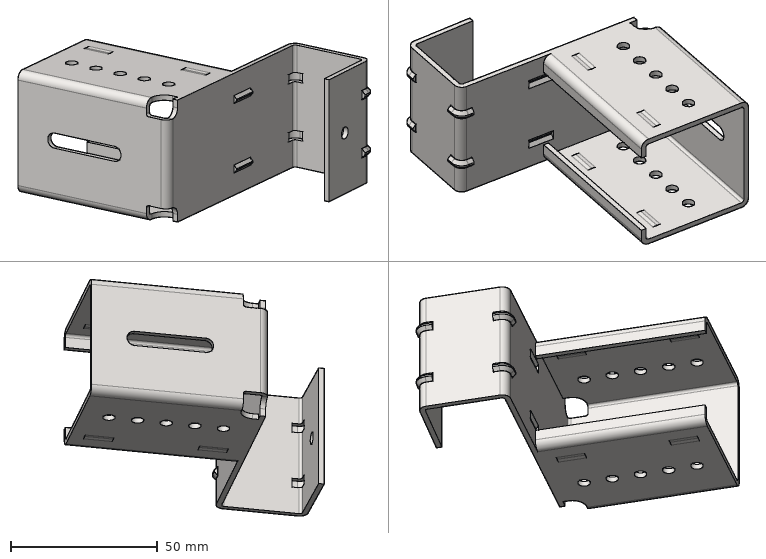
import cadquery as cq
import math

overall_x = 93.4
overall_y = 79.9
height = 44.0
sheet = 2.0
inner_bend = 1.0
outer_bend = inner_bend + sheet

channel_depth = 44.0
lip_length = 6.8

plate_outer_x = 62.0
plate_inner_x = plate_outer_x - sheet
hook_tip_y = 52.5
hook_splay = 1.5

relief_x = 53.1
relief_depth = 6.0
flange_relief_y = 8.5
flange_relief_radius = 5.0
web_relief_radius = 0.9
plate_relief_y = 5.7
plate_relief_radius = 3.2

hole_diameter = 4.2
hole_pitch = 10.0
hole_count = 5
hole_y = 18.0
slot_length = 30.2
slot_width = 5.4
slot_center_x = 27.5
hook_hole_y = 62.5

bead_height = 1.2
bead_width = 3.4
bead_crest = 0.7
bead_groove_depth = 1.9
bead_leg = 2.3
bead_z = 10.5

dimple_length = 10.0
plate_dimple_y = 45.0
plate_dimple_z = 12.5
plate_groove_width = 3.5
plate_ridge_width = 2.9
plate_dimple_depth = 1.0
plate_dimple_crest = 0.5
flange_dimple_y = 34.4
flange_dimple_width = 3.0
flange_dimple_depth = 0.2

half_height = height / 2
back_y = overall_y - bead_height
bend_center_y = back_y - outer_bend
splay = math.radians(hook_splay)
left_bend = (plate_inner_x + outer_bend, bend_center_y)
right_bend = (
    overall_x - (outer_bend + bead_height) * math.cos(splay) - bead_leg * math.sin(splay),
    bend_center_y,
)


def box_between(x, y, z):
    """Box spanning the given (low, high) ranges."""
    size = (x[1] - x[0], y[1] - y[0], z[1] - z[0])
    return cq.Workplane("XY").box(*size, centered=False).translate((x[0], y[0], z[0]))


def channel():
    """Lipped C-profile with the web on Y = 0."""
    outer = (
        cq.Workplane("YZ").rect(channel_depth, height).extrude(plate_inner_x)
        .edges("|X").fillet(outer_bend)
    )
    inner = (
        cq.Workplane("YZ").rect(channel_depth - 2 * sheet, height - 2 * sheet).extrude(plate_inner_x)
        .edges("|X").fillet(inner_bend)
    )
    tube = outer.cut(inner).translate((0, channel_depth / 2, 0))
    lip_end = half_height - lip_length
    mouth = box_between(
        (0, plate_inner_x), (channel_depth - outer_bend, channel_depth), (-lip_end, lip_end)
    )
    tab_end = half_height - relief_depth
    tab_space = box_between((relief_x, plate_inner_x), (0, outer_bend), (-tab_end, tab_end))
    return tube.cut(mouth).cut(tab_space)


def bend_point(center, radius, degrees):
    """Point on a circle about the bend centre, the angle counted from +X."""
    angle = math.radians(degrees)
    return (center[0] + radius * math.cos(angle), center[1] + radius * math.sin(angle))


def hook_plate():
    """Web tab, end plate, back wall and splayed flange as one bent strip."""
    web_bend = (plate_outer_x - outer_bend, outer_bend)
    outer_start = bend_point(right_bend, outer_bend, hook_splay)
    inner_start = bend_point(right_bend, inner_bend, hook_splay)
    outer_run = (outer_start[1] - hook_tip_y) * math.tan(splay)
    inner_run = (inner_start[1] - hook_tip_y) * math.tan(splay)
    right_middle = (90 + hook_splay) / 2
    strip = (
        cq.Workplane("XY")
        .moveTo(relief_x, 0)
        .lineTo(web_bend[0], 0)
        .threePointArc(bend_point(web_bend, outer_bend, -45), bend_point(web_bend, outer_bend, 0))
        .lineTo(*bend_point(left_bend, inner_bend, 180))
        .threePointArc(bend_point(left_bend, inner_bend, 135), bend_point(left_bend, inner_bend, 90))
        .lineTo(*bend_point(right_bend, inner_bend, 90))
        .threePointArc(bend_point(right_bend, inner_bend, right_middle), inner_start)
        .lineTo(inner_start[0] + inner_run, hook_tip_y)
        .lineTo(outer_start[0] + outer_run, hook_tip_y)
        .lineTo(*outer_start)
        .threePointArc(
            bend_point(right_bend, outer_bend, right_middle), bend_point(right_bend, outer_bend, 90)
        )
        .lineTo(*bend_point(left_bend, outer_bend, 90))
        .threePointArc(bend_point(left_bend, outer_bend, 135), bend_point(left_bend, outer_bend, 180))
        .lineTo(*bend_point(web_bend, inner_bend, 0))
        .threePointArc(bend_point(web_bend, inner_bend, -45), bend_point(web_bend, inner_bend, -90))
        .lineTo(relief_x, sheet)
        .close()
        .extrude(height)
    )
    return strip.translate((0, 0, -half_height))


def corner_relief():
    """Material removed at the upper corner of web, flange and plate."""
    z_range = (half_height - relief_depth, half_height)
    web_cut = box_between((relief_x, plate_outer_x), (0, sheet), z_range)
    web_cut = web_cut.edges("|Y and <X and <Z").fillet(web_relief_radius)
    flange_cut = box_between((relief_x, plate_inner_x), (sheet, flange_relief_y), z_range)
    flange_cut = flange_cut.edges("|Z and <X and >Y").fillet(flange_relief_radius)
    plate_cut = box_between((plate_inner_x, plate_outer_x), (sheet, plate_relief_y), z_range)
    plate_cut = plate_cut.edges("|X and >Y and <Z").fillet(plate_relief_radius)
    return web_cut.union(flange_cut).union(plate_cut)


def bend_sweep(section, center, start, sweep):
    """Carry a (radius, z) section along a straight leg, round a bend and along a second leg."""
    bend = cq.Workplane("XZ").polyline(section).close().revolve(sweep, (0, 0, 0), (0, 1, 0))
    leg = cq.Workplane("XZ").polyline(section).close().extrude(bead_leg)
    last_leg = leg.translate((0, bead_leg, 0)).rotate((0, 0, 0), (0, 0, 1), sweep)
    swept = bend.union(leg).union(last_leg)
    return swept.rotate((0, 0, 0), (0, 0, 1), start).translate((*center, 0))


def trapezoid(base, base_width, tip, tip_width):
    """Corners of a section symmetric about z = 0, from its base level to its tip level."""
    return [
        (base, -base_width / 2),
        (tip, -tip_width / 2),
        (tip, tip_width / 2),
        (base, base_width / 2),
    ]


def add_beads(body):
    """Ridges over both hook bends, each with a groove behind it."""
    ridge = trapezoid(outer_bend, bead_width, outer_bend + bead_height, bead_crest)
    groove = trapezoid(inner_bend, bead_width, inner_bend + bead_groove_depth, bead_width)
    for center, start, sweep in ((left_bend, 90, 90), (right_bend, hook_splay, 90 - hook_splay)):
        for z in (-bead_z, bead_z):
            body = body.union(bend_sweep(ridge, center, start, sweep).translate((0, 0, z)))
            body = body.cut(bend_sweep(groove, center, start, sweep).translate((0, 0, z)))
    return body


def add_plate_dimples(body):
    """Grooves on the channel side of the plate with matching ridges on the far side."""
    groove = trapezoid(
        plate_inner_x, plate_groove_width, plate_inner_x + plate_dimple_depth, plate_dimple_crest
    )
    ridge = trapezoid(
        plate_outer_x, plate_ridge_width, plate_outer_x + plate_dimple_depth, plate_dimple_crest
    )
    start_y = plate_dimple_y + dimple_length / 2
    for z in (-plate_dimple_z, plate_dimple_z):
        plane = cq.Workplane("XZ", origin=(0, start_y, z))
        body = body.union(plane.polyline(ridge).close().extrude(dimple_length))
        body = body.cut(plane.polyline(groove).close().extrude(dimple_length))
    return body


def flange_wedge(center_x, face_z):
    """V-section bar hanging below the given level."""
    half_width = flange_dimple_width / 2
    return (
        cq.Workplane("YZ", origin=(center_x - dimple_length / 2, flange_dimple_y, face_z))
        .polyline([(-half_width, 0), (0, -flange_dimple_depth), (half_width, 0)])
        .close()
        .extrude(dimple_length)
    )


def add_flange_dimples(body):
    """Shallow dimples pressed into the channel, in line with the first and last holes."""
    for center_x in (hole_pitch, hole_count * hole_pitch):
        ridge = flange_wedge(center_x, half_height - sheet)
        groove = flange_wedge(center_x, half_height)
        body = body.union(ridge).union(ridge.mirror("XY"))
        body = body.cut(groove).cut(groove.mirror("XY"))
    return body


def cut_holes(body):
    """Hole rows through both flanges, the slot in the web and the hole in the hook flange."""
    flange_holes = (
        cq.Workplane("XY", origin=(0, 0, -half_height))
        .pushPoints([(hole_pitch * (i + 1), hole_y) for i in range(hole_count)])
        .circle(hole_diameter / 2)
        .extrude(height)
    )
    web_slot = (
        cq.Workplane("XZ", origin=(slot_center_x, sheet, 0))
        .slot2D(slot_length, slot_width)
        .extrude(sheet)
    )
    hook_hole = (
        cq.Workplane("YZ", origin=(right_bend[0], hook_hole_y, 0))
        .circle(hole_diameter / 2)
        .extrude(overall_x - right_bend[0])
    )
    return body.cut(flange_holes).cut(web_slot).cut(hook_hole)


upper_relief = corner_relief()
lower_relief = upper_relief.mirror("XY")

body = channel().union(hook_plate())
body = body.cut(upper_relief).cut(lower_relief)
body = add_beads(body)
body = add_plate_dimples(body)
body = add_flange_dimples(body)
result = cut_holes(body)